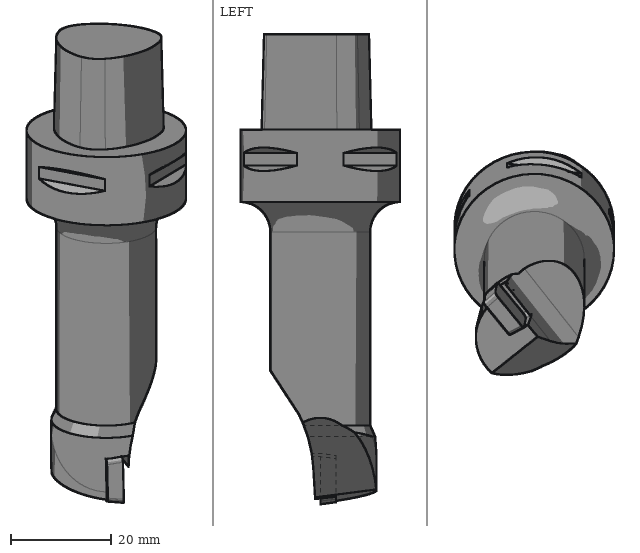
import cadquery as cq
import math


taper_height = 19.1
taper_radius = 11.0
taper_lobe = 0.75
taper_lobe_half_angle = 24.0
taper_curve_steps = 6
taper_shrink = taper_height / 40

flange_radius = 16.0
flange_height = 14.5
slot_count = 4
slot_z = -5.9
slot_floor_distance = 14.1
slot_floor_width = 2.4
slot_mouth_width = 4.7
slot_half_length = flange_radius

neck_radius = 20.0 / 2
blend_radius = flange_radius - neck_radius
neck_end = -59.1

head_start = -61.4
head_start_radius = 11.0
head_end = -77.1
head_end_radius = 12.2
clearance_radius = 11.1
clearance_x = 0.75
clearance_y = -0.2

relief_top = (-10.1, -57.5)
relief_bottom = (-0.75, -71.9)

gullet_start = (neck_radius, -48.1)
gullet_run_end = (4.3, -56.9)
gullet_arc_middle = (2.3, -62.2)
gullet_arc_end = (1.4, -67.7)
gullet_bottom = (1.0, -74.0)

end_point = (0.3, 1.0, -73.5)
end_slope_x = -0.11
end_slope_y = -0.12

insert_tip = (13.1, -75.0)
insert_side = 9.6
insert_lean = 5.0
insert_corner_radius = 0.9
insert_thickness = 3.2
insert_clearance = 7.0

margin = 28.2


def outline_point(angle, mean_radius):
    """Point whose tangent lies mean_radius + taper_lobe * cos(3 * angle) from the axis."""
    distance = mean_radius + taper_lobe * math.cos(3 * angle)
    slope = -3 * taper_lobe * math.sin(3 * angle)
    along = distance * math.cos(angle) - slope * math.sin(angle)
    across = distance * math.sin(angle) + slope * math.cos(angle)
    return (-across, along)


def outline_wire(mean_radius, z):
    """Closed outline of three lobe curves alternating with three flank curves."""
    half_lobe = math.radians(taper_lobe_half_angle)
    third = 2 * math.pi / 3
    outline = cq.Workplane("XY", origin=(0, 0, z)).moveTo(*outline_point(-half_lobe, mean_radius))
    for lobe in range(3):
        center = lobe * third
        for start, end in [
            (center - half_lobe, center + half_lobe),
            (center + half_lobe, center + third - half_lobe),
        ]:
            step = (end - start) / taper_curve_steps
            angles = [start + step * index for index in range(1, taper_curve_steps + 1)]
            directions = [(-math.cos(angle), -math.sin(angle)) for angle in (start, end)]
            points = [outline_point(angle, mean_radius) for angle in angles]
            outline = outline.spline(points, tangents=directions, includeCurrent=True)
    return outline.close().val()


def make_taper():
    wide_end = outline_wire(taper_radius, 0)
    narrow_end = outline_wire(taper_radius - taper_shrink, taper_height)
    return cq.Workplane(cq.Solid.makeLoft([wide_end, narrow_end], True))


def make_flange_and_neck():
    blend_end = -flange_height - blend_radius
    blend_offset = blend_radius * (1 - math.sqrt(0.5))
    blend_middle = (neck_radius + blend_offset, -flange_height - blend_offset)
    return (
        cq.Workplane("XZ")
        .moveTo(0, 0)
        .lineTo(flange_radius, 0)
        .lineTo(flange_radius, -flange_height)
        .threePointArc(blend_middle, (neck_radius, blend_end))
        .lineTo(neck_radius, neck_end)
        .lineTo(0, neck_end)
        .close()
        .revolve(360, (0, 0, 0), (0, 1, 0))
    )


def make_head():
    flared = (
        cq.Workplane("XZ")
        .polyline([
            (0, neck_end),
            (neck_radius, neck_end),
            (head_start_radius, head_start),
            (head_end_radius, head_end),
            (0, head_end),
        ])
        .close()
        .revolve(360, (0, 0, 0), (0, 1, 0))
    )
    clearance = (
        cq.Workplane("XY", origin=(clearance_x, clearance_y, head_end))
        .circle(clearance_radius)
        .extrude(neck_end - head_end)
    )
    return flared.intersect(clearance)


def make_gripper_slot(angle):
    """Trapezoidal slot across the flange rim, facing the given angle."""
    depth = flange_radius - slot_floor_distance
    widening = (slot_mouth_width - slot_floor_width) / 2
    half_floor = slot_floor_width / 2
    outer = slot_floor_distance + 2 * depth
    half_outer = half_floor + 2 * widening
    return (
        cq.Workplane("XZ")
        .polyline([
            (slot_floor_distance, slot_z - half_floor),
            (outer, slot_z - half_outer),
            (outer, slot_z + half_outer),
            (slot_floor_distance, slot_z + half_floor),
        ])
        .close()
        .extrude(slot_half_length, both=True)
        .rotate((0, 0, 0), (0, 0, 1), angle)
    )


def make_relief_cut():
    run = relief_bottom[0] - relief_top[0]
    rise = relief_bottom[1] - relief_top[1]
    top = (relief_top[0] - run, relief_top[1] - rise)
    bottom = (relief_bottom[0] + run, relief_bottom[1] + rise)
    return (
        cq.Workplane("XZ")
        .polyline([top, bottom, (-margin, bottom[1]), (-margin, top[1])])
        .close()
        .extrude(margin, both=True)
    )


def make_gullet_cut():
    run_y = gullet_start[0] - gullet_run_end[0]
    run_z = gullet_start[1] - gullet_run_end[1]
    above_start = (gullet_start[0] + run_y, gullet_start[1] + run_z)
    return (
        cq.Workplane("YZ")
        .moveTo(*above_start)
        .lineTo(*gullet_run_end)
        .threePointArc(gullet_arc_middle, gullet_arc_end)
        .lineTo(*gullet_bottom)
        .lineTo(gullet_bottom[0], head_end)
        .lineTo(above_start[0], head_end)
        .close()
        .extrude(margin, both=True)
    )


def make_end_cut():
    downward = cq.Vector(end_slope_x, end_slope_y, -1)
    plane = cq.Plane(origin=end_point, xDir=(1, 0, end_slope_x), normal=downward)
    return cq.Workplane(plane).rect(2 * margin, 2 * margin).extrude(margin)


def insert_outline():
    """Rhombus on the rake plane; both edges at the tip lean by insert_lean."""
    lean = math.radians(insert_lean)
    long_step = insert_side * math.cos(lean)
    short_step = insert_side * math.sin(lean)
    x, z = insert_tip
    return cq.Workplane("XZ").polyline([
        (x, z),
        (x - short_step, z + long_step),
        (x - short_step - long_step, z + long_step + short_step),
        (x - long_step, z + short_step),
    ]).close()


def make_insert():
    blank = insert_outline().extrude(insert_thickness, taper=insert_clearance)
    corners = blank.edges("not #Y")
    return corners.fillet(insert_corner_radius)


def make_pocket_opening(insert):
    """Space in front of the rake face, so the insert pocket opens into the gullet."""
    return insert.faces(">Y").wires().toPending().workplane().extrude(gullet_arc_end[0], combine=False)


insert = make_insert()

holder = make_flange_and_neck().union(make_taper()).union(make_head())
for index in range(slot_count):
    holder = holder.cut(make_gripper_slot(45 + index * 360 / slot_count))
holder = holder.cut(make_relief_cut()).cut(make_gullet_cut()).cut(make_end_cut())
holder = holder.cut(insert).cut(make_pocket_opening(insert))

result = cq.Compound.makeCompound([holder.solids().val(), insert.solids().val()])